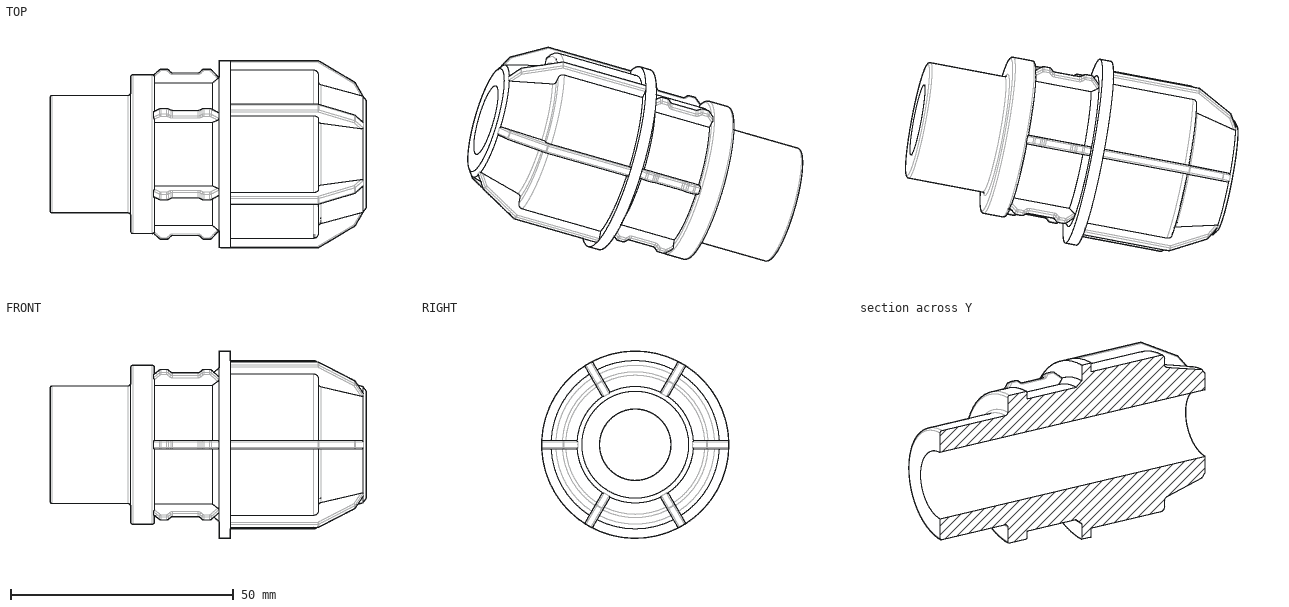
import cadquery as cq


TOLERANCE = 0.01

TOTAL_LENGTH = 71.0
COLLAR_START = 18.1
COLLAR_END = 23.4
THROAT_START = 36.4
FLANGE_START = 37.9
FLANGE_END = 40.5
NUT_SHOULDER = 60.2

BORE_DIAMETER = 16.0
SPIGOT_DIAMETER = 26.4
COLLAR_DIAMETER = 35.7
NECK_DIAMETER = 31.95
THROAT_DIAMETER = 34.5
FLANGE_DIAMETER = 42.0
NUT_DIAMETER = 37.8
NOSE_BASE_DIAMETER = 31.5
NOSE_TIP_DIAMETER = 25.7

SPIGOT_ROUND = 0.5
SPIGOT_ROOT_ROUND = 0.65
COLLAR_ROUND = 0.5
NUT_ROUND = 1.1
NOSE_ROOT_ROUND = 0.8
NOSE_TIP_CHAMFER = 0.85

RIB_COUNT = 6
RIB_THICKNESS = 2.0
RIB_ROOT_RADIUS = 11.35
RIB_EDGE_ROUND = 0.35

NECK_RIB_CREST_RADIUS = 19.1
NECK_RIB_SADDLE_RADIUS = 18.25
NECK_RIB_FOOT_RADIUS = 17.05
NECK_RIB_CORNER_ROUND = 0.6
NECK_RIB_FRONT_CREST = (24.7, 26.4)
NECK_RIB_SADDLE = (27.25, 33.45)
NECK_RIB_REAR_CREST = (34.3, 36.1)
NECK_RIB_START = 22.45
NECK_RIB_END = 38.05

NUT_RIB_KNEE = (68.45, 16.1)
NUT_RIB_END = (70.5, 12.6)
NUT_RIB_CORNER_ROUND = 0.35


def circle_at(body, position, diameter):
    """Circular edge of the given diameter at a position along the axis."""
    return body.edges("%CIRCLE").filter(
        lambda edge: abs(edge.Center().x - position) < TOLERANCE
        and abs(edge.radius() - diameter / 2) < TOLERANCE
    )


def turned_body():
    """Solid of revolution with rounded edges, before the bore is cut."""
    outline = [
        (0, 0),
        (0, SPIGOT_DIAMETER / 2),
        (COLLAR_START, SPIGOT_DIAMETER / 2),
        (COLLAR_START, COLLAR_DIAMETER / 2),
        (COLLAR_END, COLLAR_DIAMETER / 2),
        (COLLAR_END, NECK_DIAMETER / 2),
        (THROAT_START, NECK_DIAMETER / 2),
        (FLANGE_START, THROAT_DIAMETER / 2),
        (FLANGE_START, FLANGE_DIAMETER / 2),
        (FLANGE_END, FLANGE_DIAMETER / 2),
        (FLANGE_END, NUT_DIAMETER / 2),
        (NUT_SHOULDER, NUT_DIAMETER / 2),
        (NUT_SHOULDER, NOSE_BASE_DIAMETER / 2),
        (TOTAL_LENGTH, NOSE_TIP_DIAMETER / 2),
        (TOTAL_LENGTH, 0),
    ]
    body = cq.Workplane("XY").polyline(outline).close().revolve(360, (0, 0, 0), (1, 0, 0))
    roundings = [
        (0, SPIGOT_DIAMETER, SPIGOT_ROUND),
        (COLLAR_START, SPIGOT_DIAMETER, SPIGOT_ROOT_ROUND),
        (COLLAR_START, COLLAR_DIAMETER, COLLAR_ROUND),
        (COLLAR_END, COLLAR_DIAMETER, COLLAR_ROUND),
        (NUT_SHOULDER, NUT_DIAMETER, NUT_ROUND),
        (NUT_SHOULDER, NOSE_BASE_DIAMETER, NOSE_ROOT_ROUND),
    ]
    for position, diameter, radius in roundings:
        body = circle_at(body, position, diameter).fillet(radius)
    return circle_at(body, TOTAL_LENGTH, NOSE_TIP_DIAMETER).chamfer(NOSE_TIP_CHAMFER)


def rib_plate(outline):
    """Plate lying in the XY plane, centred on its thickness."""
    return cq.Workplane("XY").polyline(outline).close().extrude(RIB_THICKNESS / 2, both=True)


def neck_rib():
    """Twin-crested grip rib between the collar and the flange."""
    outline = [
        (NECK_RIB_START, RIB_ROOT_RADIUS),
        (NECK_RIB_START, NECK_RIB_FOOT_RADIUS),
        (NECK_RIB_FRONT_CREST[0], NECK_RIB_CREST_RADIUS),
        (NECK_RIB_FRONT_CREST[1], NECK_RIB_CREST_RADIUS),
        (NECK_RIB_SADDLE[0], NECK_RIB_SADDLE_RADIUS),
        (NECK_RIB_SADDLE[1], NECK_RIB_SADDLE_RADIUS),
        (NECK_RIB_REAR_CREST[0], NECK_RIB_CREST_RADIUS),
        (NECK_RIB_REAR_CREST[1], NECK_RIB_CREST_RADIUS),
        (NECK_RIB_END, NECK_RIB_FOOT_RADIUS),
        (NECK_RIB_END, RIB_ROOT_RADIUS),
    ]
    above_foot = cq.selectors.BoxSelector(
        (NECK_RIB_START, NECK_RIB_FOOT_RADIUS + TOLERANCE, -RIB_THICKNESS),
        (NECK_RIB_END, NECK_RIB_CREST_RADIUS + TOLERANCE, RIB_THICKNESS),
    )
    plate = rib_plate(outline).edges("|Z").edges(above_foot).fillet(NECK_RIB_CORNER_ROUND)
    return plate.faces("<Z or >Z").edges(above_foot).fillet(RIB_EDGE_ROUND)


def nut_rib():
    """Grip rib on the nut, level with the flange and sloping down to the nose."""
    outline = [
        (FLANGE_END, RIB_ROOT_RADIUS),
        (FLANGE_END, FLANGE_DIAMETER / 2),
        (NUT_SHOULDER, FLANGE_DIAMETER / 2),
        NUT_RIB_KNEE,
        NUT_RIB_END,
        (NUT_RIB_END[0], RIB_ROOT_RADIUS),
    ]
    crest = cq.selectors.BoxSelector(
        (FLANGE_END + TOLERANCE, NUT_RIB_END[1], -RIB_THICKNESS),
        (NUT_RIB_END[0], FLANGE_DIAMETER, RIB_THICKNESS),
    )
    knees = cq.selectors.BoxSelector(
        (NUT_SHOULDER - TOLERANCE, NUT_RIB_KNEE[1] - TOLERANCE, -RIB_THICKNESS),
        (NUT_RIB_KNEE[0] + TOLERANCE, FLANGE_DIAMETER, RIB_THICKNESS),
    )
    plate = rib_plate(outline).edges("|Z").edges(knees).fillet(NUT_RIB_CORNER_ROUND)
    return plate.faces("<Z or >Z").edges(crest).fillet(RIB_EDGE_ROUND)


result = turned_body()
for index in range(RIB_COUNT):
    angle = index * 360 / RIB_COUNT
    for rib in (neck_rib(), nut_rib()):
        result = result.union(rib.rotate((0, 0, 0), (1, 0, 0), angle))

bore = cq.Workplane("YZ").circle(BORE_DIAMETER / 2).extrude(TOTAL_LENGTH)
result = result.cut(bore)